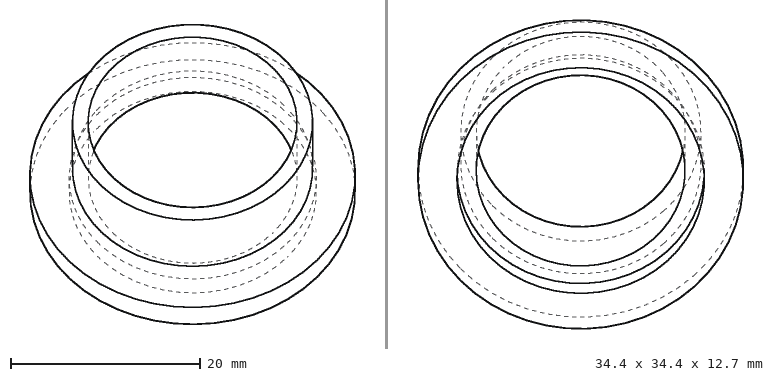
import cadquery as cq

flange_diameter = 34.42
rim_height = 3.1
cone_height = 1.17

total_height = 12.7
tube_diameter = 25.4
bore_diameter = 22.1

recess_diameter = 26.15
recess_depth = 2.55

flange_radius = flange_diameter / 2
tube_radius = tube_diameter / 2
bore_radius = bore_diameter / 2
recess_radius = recess_diameter / 2
shoulder_height = rim_height + cone_height

half_section = (
    cq.Workplane("XZ")
    .moveTo(recess_radius, 0)
    .lineTo(flange_radius, 0)
    .lineTo(flange_radius, rim_height)
    .lineTo(tube_radius, shoulder_height)
    .lineTo(tube_radius, total_height)
    .lineTo(bore_radius, total_height)
    .lineTo(bore_radius, recess_depth)
    .lineTo(recess_radius, recess_depth)
    .close()
)

result = half_section.revolve(360, (0, 0, 0), (0, 1, 0))